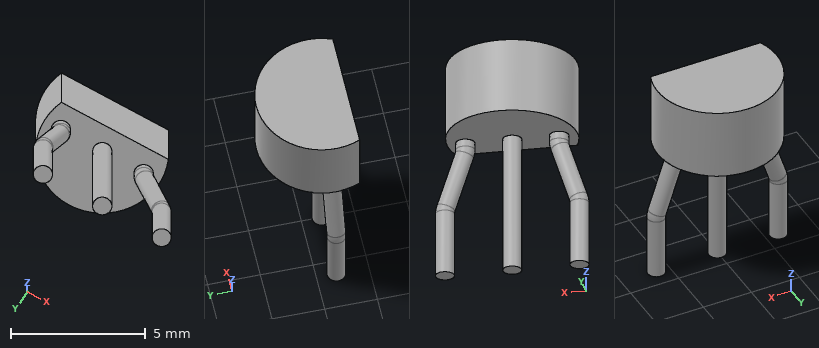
import cadquery as cq
import math

total_height = 8.31
total_width = 5.79
body_height = 2.92
body_radius = 2.48
flat_offset = 0.95

lead_diameter = 0.715
lead_pitch = (total_width - lead_diameter) / 2
root_pitch = 1.77
root_length = 0.28
tip_length = 2.54
bend_radius = lead_diameter

body_bottom = total_height - body_height
upper_bend_z = body_bottom - root_length

side_step = lead_pitch - root_pitch
drop = upper_bend_z - tip_length
center_shift = 2 * bend_radius - side_step
center_distance = math.hypot(center_shift, drop)
bend_angle = math.asin(2 * bend_radius / center_distance) - math.atan2(center_shift, drop)


def make_housing():
    """D-shaped housing: a cylinder cut by a flat on its -Y side."""
    half_flat = math.sqrt(body_radius**2 - flat_offset**2)
    return (
        cq.Workplane("XY", origin=(0, 0, body_bottom))
        .moveTo(-half_flat, -flat_offset)
        .threePointArc((0, body_radius), (half_flat, -flat_offset))
        .close()
        .extrude(body_height)
    )


def make_middle_lead():
    """Straight round lead from the floor to the housing."""
    return cq.Workplane("XY").circle(lead_diameter / 2).extrude(body_bottom)


def make_outer_lead(side):
    """Lead with two opposite bends; side is -1 for the -X lead and +1 for the +X lead."""

    def upper_bend_point(angle):
        x = root_pitch + bend_radius * (1 - math.cos(angle))
        return side * x, upper_bend_z - bend_radius * math.sin(angle)

    def lower_bend_point(angle):
        x = lead_pitch - bend_radius * (1 - math.cos(angle))
        return side * x, tip_length + bend_radius * math.sin(angle)

    path = (
        cq.Workplane("XZ")
        .moveTo(side * root_pitch, body_bottom)
        .lineTo(*upper_bend_point(0))
        .threePointArc(upper_bend_point(bend_angle / 2), upper_bend_point(bend_angle))
        .lineTo(*lower_bend_point(bend_angle))
        .threePointArc(lower_bend_point(bend_angle / 2), lower_bend_point(0))
        .lineTo(side * lead_pitch, 0)
    )
    return (
        cq.Workplane("XY", origin=(side * root_pitch, 0, body_bottom))
        .circle(lead_diameter / 2)
        .sweep(path)
    )


housing = make_housing()
middle_lead = make_middle_lead()
outer_leads = [make_outer_lead(side) for side in (-1, 1)]

result = cq.Compound.makeCompound(
    [housing.val(), middle_lead.val(), *[lead.val() for lead in outer_leads]]
)